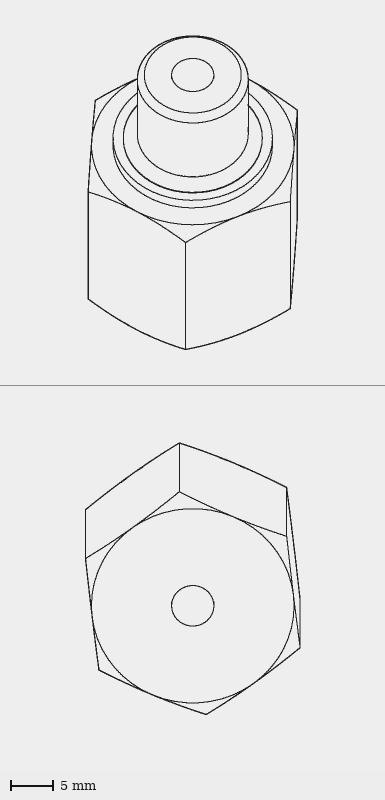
import cadquery as cq
import math

total_height = 36.0
stud_height = 12.0
collar_height = 1.45
hex_height = total_height - stud_height - collar_height
collar_top = hex_height + collar_height

across_flats = 24.0
across_corners = across_flats / math.cos(math.pi / 6)
corner_cone_angle = math.radians(30)

collar_diameter = 18.9
recess_diameter = 16.5
recess_depth = 0.1
stud_diameter = 13.18
stud_end_diameter = 11.5
bore_diameter = 5.0
stud_chamfer = (stud_diameter - stud_end_diameter) / 2


def hex_body():
    """Hexagon with flats on +X and -X, its corners turned off by a cone at both ends."""
    prism = (
        cq.Workplane("XY")
        .polygon(6, across_corners)
        .extrude(hex_height)
        .rotate((0, 0, 0), (0, 0, 1), 30)
    )
    flat_radius = across_flats / 2
    corner_radius = across_corners / 2
    corner_drop = (corner_radius - flat_radius) * math.tan(corner_cone_angle)
    envelope = (
        cq.Workplane("XZ")
        .moveTo(0, 0)
        .lineTo(flat_radius, 0)
        .lineTo(corner_radius, corner_drop)
        .lineTo(corner_radius, hex_height - corner_drop)
        .lineTo(flat_radius, hex_height)
        .lineTo(0, hex_height)
        .close()
        .revolve(360, (0, 0, 0), (0, 1, 0))
    )
    return prism.intersect(envelope)


def collar():
    """Sealing collar with a shallow recess around the foot of the stud."""
    disc = cq.Workplane("XY").workplane(offset=hex_height).circle(collar_diameter / 2).extrude(collar_height)
    recess = (
        cq.Workplane("XY")
        .workplane(offset=collar_top - recess_depth)
        .circle(recess_diameter / 2)
        .extrude(recess_depth)
    )
    return disc.cut(recess)


def stud():
    """Stud chamfered at its tip and at its foot, standing in the collar recess."""
    shank = (
        cq.Workplane("XY")
        .workplane(offset=collar_top)
        .circle(stud_diameter / 2)
        .extrude(stud_height)
        .faces("<Z or >Z")
        .chamfer(stud_chamfer)
    )
    foot = (
        cq.Workplane("XY")
        .workplane(offset=collar_top - recess_depth)
        .circle(stud_end_diameter / 2)
        .extrude(recess_depth)
    )
    return shank.union(foot)


bore = cq.Workplane("XY").circle(bore_diameter / 2).extrude(total_height)

result = hex_body().union(collar()).union(stud()).cut(bore)